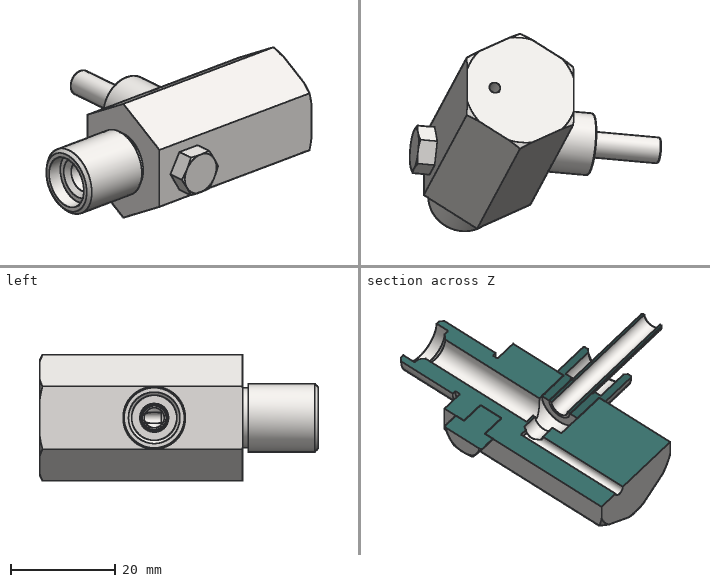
import cadquery as cq
import math


def hexagon_across_corners(across_flats):
    return across_flats / math.cos(math.radians(30))



HEX_ACROSS_FLATS = 20.95
HEX_ACROSS_CORNERS = hexagon_across_corners(HEX_ACROSS_FLATS)
HEX_LENGTH = 38.95
CROWN_DIAMETER = 22.05
CROWN_DROP = 0.55

NIPPLE_LENGTH = 14.55
NIPPLE_DIAMETER = 13.15
NIPPLE_CHAMFER = 0.7
RELIEF_DIAMETER = 11.55
RELIEF_LENGTH = 1.05

COUNTERBORE_DIAMETER = 10.05
COUNTERBORE_DEPTH = 2.85
SEAT_DIAMETER = 8.0
OUTLET_DIAMETER = 6.0
OUTLET_END_Y = 14.3
SEAT_DEPTH = (SEAT_DIAMETER - OUTLET_DIAMETER) / 2

SIDE_Y = 16.95
CHAMBER_DIAMETER = 8.65
CHAMBER_FLOOR_X = 1.0

DRILL_TIP_SLOPE = 1 / math.tan(math.radians(59))
RECESS_DIAMETER = 4.3
RECESS_DEPTH = 3.2
PASSAGE_DIAMETER = 2.15
PASSAGE_X = 5.1
PASSAGE_OVERRUN = 1.4

COLLAR_DIAMETER = 12.0
COLLAR_LENGTH = 8.0
COLLAR_EDGE = 0.2
COLLAR_MOUTH_DIAMETER = 9.9
PLUG_LENGTH = 6.75
CLEARANCE_DIAMETER = 5.5
CLEARANCE_DEPTH = 0.55

TUBE_PROJECTION = 21.5
TUBE_DIAMETER = 5.05
TUBE_BORE = 3.85
TUBE_EDGE = 0.2

SCREW_Y = 7.45
SCREW_ACROSS_FLATS = 8.0
SCREW_HEAD_HEIGHT = 3.55
SCREW_CROWN_DROP = 0.2
SCREW_SHANK_DIAMETER = 5.05
SCREW_SHANK_LENGTH = 5.05

FLAT_X = HEX_ACROSS_FLATS / 2
PLUG_END_X = -FLAT_X + PLUG_LENGTH
RECESS_TIP_X = CHAMBER_FLOOR_X + RECESS_DEPTH


def rod_along_x(diameter, x_start, x_end, y):
    """Cylinder parallel to X between two x positions."""
    return (
        cq.Workplane("YZ", origin=(x_start, y, 0))
        .circle(diameter / 2)
        .extrude(x_end - x_start)
    )


def cone_along_x(start_diameter, end_diameter, x_start, x_end, y):
    """Truncated cone parallel to X, widening or narrowing towards x_end."""
    towards_x = cq.Vector(1, 0, 0)
    solid = cq.Solid.makeCone(
        start_diameter / 2, end_diameter / 2, x_end - x_start, cq.Vector(x_start, y, 0), towards_x
    )
    return cq.Workplane(solid)


def revolve_about_y(points):
    """Solid of revolution about the Y axis from (radius, y) points."""
    return cq.Workplane("XY").polyline(points).close().revolve(360, (0, 0, 0), (0, 1, 0))


def crowned_hexagon():
    hexagon = (
        cq.Workplane("XZ")
        .polygon(6, HEX_ACROSS_CORNERS)
        .extrude(-HEX_LENGTH)
        .rotate((0, 0, 0), (0, 1, 0), 30)
    )
    corner_radius = HEX_ACROSS_CORNERS / 2
    crown = revolve_about_y([
        (0, 0),
        (corner_radius, 0),
        (corner_radius, HEX_LENGTH - CROWN_DROP),
        (CROWN_DIAMETER / 2, HEX_LENGTH),
        (0, HEX_LENGTH),
    ])
    return hexagon.intersect(crown)


def nipple():
    radius = NIPPLE_DIAMETER / 2
    return revolve_about_y([
        (0, 0),
        (RELIEF_DIAMETER / 2, 0),
        (RELIEF_DIAMETER / 2, -RELIEF_LENGTH),
        (radius, -RELIEF_LENGTH),
        (radius, -NIPPLE_LENGTH + NIPPLE_CHAMFER),
        (radius - NIPPLE_CHAMFER, -NIPPLE_LENGTH),
        (0, -NIPPLE_LENGTH),
    ])


def outlet_bore():
    """Stepped bore from the nipple mouth into the side chamber."""
    ledge_y = -NIPPLE_LENGTH + COUNTERBORE_DEPTH
    return revolve_about_y([
        (0, -NIPPLE_LENGTH),
        (COUNTERBORE_DIAMETER / 2, -NIPPLE_LENGTH),
        (COUNTERBORE_DIAMETER / 2, ledge_y),
        (SEAT_DIAMETER / 2, ledge_y),
        (OUTLET_DIAMETER / 2, ledge_y + SEAT_DEPTH),
        (OUTLET_DIAMETER / 2, OUTLET_END_Y),
        (0, OUTLET_END_Y),
    ])


def floor_recess():
    """Blind hole in the chamber floor that ends in a drill tip."""
    tip_end_x = RECESS_TIP_X + DRILL_TIP_SLOPE * RECESS_DIAMETER / 2
    straight = rod_along_x(RECESS_DIAMETER, CHAMBER_FLOOR_X, RECESS_TIP_X, SIDE_Y)
    return straight.union(cone_along_x(RECESS_DIAMETER, 0, RECESS_TIP_X, tip_end_x, SIDE_Y))


def inlet_passage():
    """Small bore from the +Y end that stops just past the chamber axis."""
    end_y = SIDE_Y - PASSAGE_OVERRUN
    return (
        cq.Workplane("XZ", origin=(PASSAGE_X, end_y, 0))
        .circle(PASSAGE_DIAMETER / 2)
        .extrude(end_y - HEX_LENGTH)
    )


def make_housing():
    chamber = rod_along_x(CHAMBER_DIAMETER, -FLAT_X, CHAMBER_FLOOR_X, SIDE_Y)
    screw_hole = rod_along_x(SCREW_SHANK_DIAMETER, FLAT_X - SCREW_SHANK_LENGTH, FLAT_X, SCREW_Y)
    return (
        crowned_hexagon()
        .union(nipple())
        .cut(outlet_bore())
        .cut(chamber)
        .cut(floor_recess())
        .cut(inlet_passage())
        .cut(screw_hole)
    )


def make_collar():
    mouth_x = -FLAT_X - COLLAR_LENGTH
    mouth_chamfer = (COLLAR_MOUTH_DIAMETER - CHAMBER_DIAMETER) / 2
    sleeve = (
        rod_along_x(COLLAR_DIAMETER, mouth_x, -FLAT_X, SIDE_Y)
        .faces("<X").edges().chamfer(COLLAR_EDGE)
        .cut(rod_along_x(CHAMBER_DIAMETER, mouth_x, -FLAT_X, SIDE_Y))
        .cut(cone_along_x(COLLAR_MOUTH_DIAMETER, CHAMBER_DIAMETER, mouth_x, mouth_x + mouth_chamfer, SIDE_Y))
    )
    plug_start_x = -FLAT_X - CLEARANCE_DEPTH
    plug = rod_along_x(CHAMBER_DIAMETER, plug_start_x, PLUG_END_X, SIDE_Y)
    return (
        sleeve
        .union(plug)
        .cut(rod_along_x(TUBE_DIAMETER, plug_start_x, PLUG_END_X, SIDE_Y))
        .cut(rod_along_x(CLEARANCE_DIAMETER, plug_start_x, plug_start_x + CLEARANCE_DEPTH, SIDE_Y))
    )


def make_tube():
    free_end_x = -FLAT_X - TUBE_PROJECTION
    return (
        rod_along_x(TUBE_DIAMETER, free_end_x, PLUG_END_X, SIDE_Y)
        .faces("<X").edges().chamfer(TUBE_EDGE)
        .cut(rod_along_x(TUBE_BORE, free_end_x, PLUG_END_X, SIDE_Y))
    )


def make_screw():
    """Screw whose head has corners on +Y and -Y and a crowned outer end."""
    across_corners = hexagon_across_corners(SCREW_ACROSS_FLATS)
    crown_x = FLAT_X + SCREW_HEAD_HEIGHT - SCREW_CROWN_DROP
    head = (
        cq.Workplane("YZ", origin=(FLAT_X, SCREW_Y, 0))
        .polygon(6, across_corners)
        .extrude(SCREW_HEAD_HEIGHT)
    )
    crown = rod_along_x(across_corners, FLAT_X, crown_x, SCREW_Y).union(
        cone_along_x(across_corners, SCREW_ACROSS_FLATS, crown_x, FLAT_X + SCREW_HEAD_HEIGHT, SCREW_Y)
    )
    shank = rod_along_x(SCREW_SHANK_DIAMETER, FLAT_X - SCREW_SHANK_LENGTH, FLAT_X, SCREW_Y)
    return head.intersect(crown).union(shank)


housing = make_housing()
collar = make_collar()
tube = make_tube()
screw = make_screw()

result = cq.Compound.makeCompound([housing.val(), collar.val(), tube.val(), screw.val()])